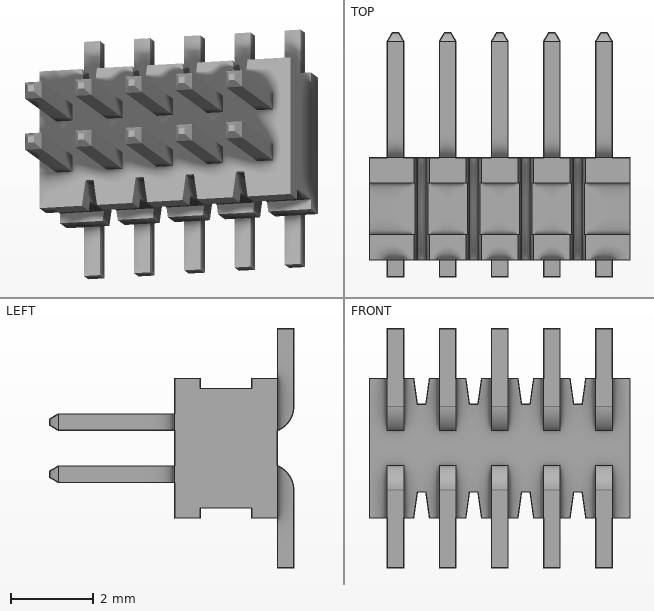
import cadquery as cq

pitch = 1.27
pins_per_row = 5

body_width = pins_per_row * pitch
body_depth = 2.5
body_height = 3.405

recess_width = body_depth / 2
recess_depth = 0.24

groove_mouth = 0.38
groove_floor = 0.205
groove_depth = 0.63

pin_size = 0.405
pin_length = 3.05
tip_length = 0.215
tip_size = 0.15
foot_span = 5.83
bend_start = 0.425
bend_end = 1.02


def make_body():
    body = cq.Workplane("XY").box(body_width, body_depth, body_height).translate((0, body_depth / 2, 0))
    for side in (1, -1):
        recess = cq.Workplane("XY").box(body_width, recess_width, 2 * recess_depth)
        body = body.cut(recess.translate((0, body_depth / 2, side * body_height / 2)))
        for index in range(pins_per_row - 1):
            body = body.cut(make_groove((index + 1) * pitch - body_width / 2, side))
    return body


def make_groove(x, side):
    """Trapezoidal groove through the full depth, on the top (side 1) or bottom (side -1)."""
    mouth_z = side * body_height / 2
    floor_z = side * (body_height / 2 - groove_depth)
    outline = [
        (x - groove_mouth / 2, mouth_z),
        (x + groove_mouth / 2, mouth_z),
        (x + groove_floor / 2, floor_z),
        (x - groove_floor / 2, floor_z),
    ]
    return cq.Workplane("XZ").polyline(outline).close().extrude(-body_depth)


def make_upper_contact():
    """Contact of the upper row at X = 0: straight pin, tapered tip and bent solder foot."""
    shank_end = body_depth + pin_length - tip_length
    pin = (
        cq.Workplane("XZ", origin=(0, 0, pitch / 2))
        .rect(pin_size, pin_size)
        .extrude(-shank_end)
    )
    tip = (
        cq.Workplane("XZ", origin=(0, shank_end, pitch / 2))
        .rect(pin_size, pin_size)
        .workplane(offset=-tip_length)
        .rect(tip_size, tip_size)
        .loft(ruled=True)
    )
    foot = (
        cq.Workplane("YZ", origin=(-pin_size / 2, 0, 0))
        .moveTo(0, foot_span / 2)
        .lineTo(-pin_size, foot_span / 2)
        .lineTo(-pin_size, bend_end)
        .tangentArcPoint((0, bend_start), relative=False)
        .close()
        .extrude(pin_size)
    )
    return pin.union(tip).union(foot)


upper_contact = make_upper_contact()
contact_pair = upper_contact.union(upper_contact.mirror("XY"))

result = make_body()
for position in range(pins_per_row):
    contact_x = (position + 0.5) * pitch - body_width / 2
    result = result.union(contact_pair.translate((contact_x, 0, 0)))